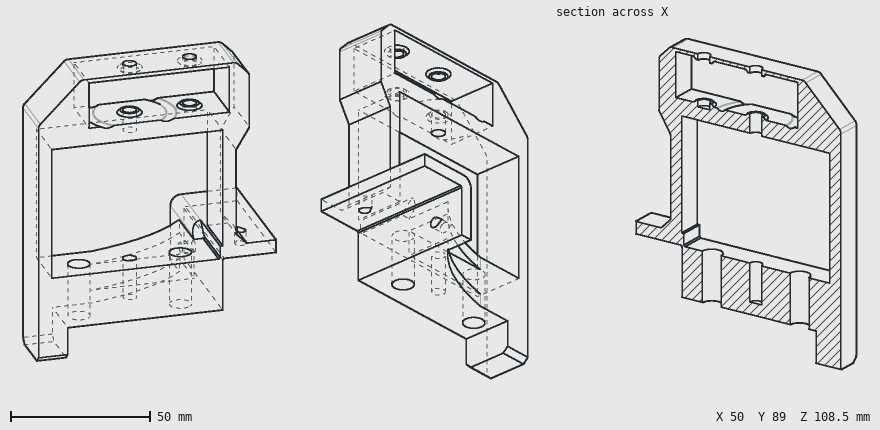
import cadquery as cq
import math

WIDTH = 50.0
DEPTH = 89.0
HEIGHT = 108.5
WALL = 5.0
MARGIN = 0.1

FRAME_WIDTH = 20.0
FRAME_X = WIDTH - FRAME_WIDTH
FRAME_MID_X = WIDTH - FRAME_WIDTH / 2
FOOT_DEPTH = 11.0
BEAM_BOTTOM = 12.5
BEAM_TOP = 32.5
POST_BACK = 74.0
POST_FRONT = POST_BACK - WALL
HEAD_BACK = POST_BACK + WALL
HEAD_BOTTOM = 82.7
HEAD_SLOPE_HEIGHT = 8.2
FRONT_BEVEL = 16.1
BACK_BEVEL = 5.0
BEVEL_ROUND = 2.3
FOOT_CHAMFER = 2.1

SLOT_FRONT = 19.0
SLOT_BACK = 71.5
SLOT_BOTTOM = 89.4
ROOF = 1.5
SLOT_TOP = HEIGHT - ROOF

SHELF_TOP = BEAM_TOP + WALL
WALL_FRONT = POST_FRONT - WALL
BRACKET_ROUND = 4.0
LIP_FRONT = WALL_FRONT + BRACKET_ROUND
GUSSET = 4.0
CORNER_FILL = 0.5

RIB_EDGE = [(11.2, WALL_FRONT), (20.7, 51.4), (26.0, 39.7), (FRAME_X, 25.6)]

SEAT_MID_Y = 37.0
SEAT_PITCH = 22.5
SEAT_HOLE = 5.0
SEAT_BASE = 9.0
SEAT_TIP = 6.8
SEAT_HEIGHT = 1.0
BACK_SEAT_HOLE_DEPTH = 2.4
GROOVE_RADIUS = 15.0
GROOVE_WIDTH = 3.5
GROOVE_DEPTH = 0.8
GROOVE_EDGE_ROUND = 0.7

BEAM_HOLE = 8.0
BEAM_HOLE_OFFSET = 19.0
BEAM_PILOT_FLOOR = BEAM_BOTTOM + WALL

TEARDROP_DIAMETER = 4.0
TEARDROP_RADIUS = TEARDROP_DIAMETER / 2
TEARDROP_TIP = 3.4
WALL_HOLE_X = 13.0
SHELF_HOLE_X = 38.0
SHELF_HOLE_Y = 79.0


def box(x, y, z):
    """Box spanning the given (low, high) pairs."""
    return cq.Workplane("XY").box(
        x[1] - x[0], y[1] - y[0], z[1] - z[0], centered=False
    ).translate((x[0], y[0], z[0]))


def extrude_x(points, x_low, x_high):
    """Extrude a (y, z) outline along X."""
    return cq.Workplane("YZ", origin=(x_low, 0, 0)).polyline(points).close().extrude(x_high - x_low)


def cylinder(diameter, x, y, z_low, z_high):
    """Upright cylinder between two heights."""
    return cq.Workplane("XY", origin=(x, y, z_low)).circle(diameter / 2).extrude(z_high - z_low)


def make_frame():
    """Frame without its windows, down to the foot at the front."""
    outline = [
        (0, 0),
        (0, HEIGHT - FRONT_BEVEL),
        (FRONT_BEVEL, HEIGHT),
        (HEAD_BACK - BACK_BEVEL, HEIGHT),
        (HEAD_BACK, HEIGHT - BACK_BEVEL),
        (HEAD_BACK, HEAD_BOTTOM),
        (POST_BACK, HEAD_BOTTOM - HEAD_SLOPE_HEIGHT),
        (POST_BACK, SHELF_TOP + GUSSET),
        (POST_BACK + GUSSET, SHELF_TOP),
        (POST_BACK + GUSSET, BEAM_TOP),
        (POST_FRONT, BEAM_TOP),
        (POST_FRONT, BEAM_BOTTOM),
        (FOOT_DEPTH, BEAM_BOTTOM),
        (FOOT_DEPTH, 0),
    ]
    frame = extrude_x(outline, FRAME_X, WIDTH)
    high_edges = cq.selectors.BoxSelector(
        (FRAME_X - MARGIN, -MARGIN, HEIGHT - FRONT_BEVEL - MARGIN),
        (WIDTH + MARGIN, HEAD_BACK + MARGIN, HEIGHT + MARGIN),
    )
    frame = frame.edges("|X").edges(high_edges).fillet(BEVEL_ROUND)
    frame = frame.faces("<Z").edges("|Y").chamfer(FOOT_CHAMFER)
    return frame


def make_bracket():
    """Shelf and hanging wall with a rounded outer bend."""
    outline = [
        (WALL_FRONT, BEAM_BOTTOM),
        (WALL_FRONT, SHELF_TOP),
        (DEPTH, SHELF_TOP),
        (DEPTH, BEAM_TOP),
        (POST_FRONT, BEAM_TOP),
        (POST_FRONT, BEAM_BOTTOM),
    ]
    bracket = extrude_x(outline, 0, WIDTH)
    return bracket.faces(">Z").edges("<Y").fillet(BRACKET_ROUND)


def make_rib(z_low):
    """Curved rib bracing the hanging wall against the lower beam."""
    return (
        cq.Workplane("XY", origin=(0, 0, z_low))
        .spline(RIB_EDGE)
        .lineTo(FRAME_X, WALL_FRONT)
        .close()
        .extrude(WALL)
    )


def make_window():
    """Main window, which ends on the shelf at the back and on the lower beam in front of it."""
    upper = box((FRAME_X, WIDTH), (WALL, POST_FRONT), (SHELF_TOP, HEAD_BOTTOM))
    lower = box((FRAME_X, WIDTH), (WALL, LIP_FRONT), (BEAM_TOP, SHELF_TOP))
    return upper.union(lower)


def make_runout():
    """Wedge that ends the window at 45 degrees in the rounded bend of the bracket."""
    return (
        cq.Workplane("XZ", origin=(0, WALL_FRONT, 0))
        .polyline([(FRAME_X, BEAM_TOP), (FRAME_X, SHELF_TOP), (FRAME_X - WALL, SHELF_TOP)])
        .close()
        .extrude(WALL_FRONT - LIP_FRONT)
    )


def make_corner_fill(corner_y, direction, x_low):
    """Bevel filling an inside corner at beam height, towards +Y and down or -Y and up."""
    leg = direction * CORNER_FILL
    outline = [(corner_y, BEAM_TOP), (corner_y + leg, BEAM_TOP), (corner_y, BEAM_TOP - leg)]
    return extrude_x(outline, x_low, WIDTH)


def make_seat(y, z, direction):
    """Tapered boss standing on a slot face, pointing up (+1) or down (-1)."""
    boss = cq.Solid.makeCone(
        SEAT_BASE / 2, SEAT_TIP / 2, SEAT_HEIGHT,
        pnt=cq.Vector(FRAME_MID_X, y, z), dir=cq.Vector(0, 0, direction),
    )
    return cq.Workplane(obj=boss)


def make_groove():
    """Shallow round-bottomed ring around the front seat, clipped to the slot floor."""
    tube = ((GROOVE_WIDTH / 2) ** 2 + GROOVE_DEPTH ** 2) / (2 * GROOVE_DEPTH)
    ring = cq.Solid.makeTorus(
        GROOVE_RADIUS, tube, cq.Vector(FRAME_MID_X, SEAT_MID_Y, SLOT_BOTTOM - GROOVE_DEPTH + tube)
    )
    return cq.Workplane(obj=ring).intersect(
        box((FRAME_X, WIDTH), (SLOT_FRONT, SLOT_BACK), (SLOT_BOTTOM - WALL, SLOT_BOTTOM))
    )


def teardrop(plane, center, length):
    """Round hole drawn out to a point on its -X side."""
    touch = math.acos(TEARDROP_RADIUS / TEARDROP_TIP)
    x = -TEARDROP_RADIUS * math.cos(touch)
    y = TEARDROP_RADIUS * math.sin(touch)
    return (
        cq.Workplane(plane, origin=center)
        .moveTo(-TEARDROP_TIP, 0)
        .lineTo(x, y)
        .threePointArc((TEARDROP_RADIUS, 0), (x, -y))
        .close()
        .extrude(length)
    )


result = make_frame().union(make_bracket())
for rib_bottom in (BEAM_BOTTOM, BEAM_TOP - WALL):
    result = result.union(make_rib(rib_bottom))

result = result.cut(make_window()).cut(make_runout())
result = result.union(make_corner_fill(POST_FRONT, 1, 0))
result = result.union(make_corner_fill(LIP_FRONT, -1, FRAME_X))

result = result.cut(box((FRAME_X, WIDTH), (SLOT_FRONT, SLOT_BACK), (SLOT_BOTTOM, SLOT_TOP)))
result = result.cut(make_groove())
groove_edges = cq.selectors.BoxSelector(
    (FRAME_X, SLOT_FRONT, SLOT_BOTTOM - MARGIN), (WIDTH, SLOT_BACK, SLOT_BOTTOM + MARGIN)
)
result = result.edges("%CIRCLE").edges(groove_edges).fillet(GROOVE_EDGE_ROUND)

back_seat_y = SEAT_MID_Y + SEAT_PITCH
for seat_y in (SEAT_MID_Y, back_seat_y):
    result = result.union(make_seat(seat_y, SLOT_BOTTOM, 1))
    result = result.union(make_seat(seat_y, SLOT_TOP, -1))

back_hole_floor = SLOT_BOTTOM + SEAT_HEIGHT - BACK_SEAT_HOLE_DEPTH
result = result.cut(cylinder(SEAT_HOLE, FRAME_MID_X, SEAT_MID_Y, HEAD_BOTTOM, HEIGHT))
result = result.cut(cylinder(SEAT_HOLE, FRAME_MID_X, back_seat_y, back_hole_floor, HEIGHT))

for offset in (-BEAM_HOLE_OFFSET, BEAM_HOLE_OFFSET):
    result = result.cut(cylinder(BEAM_HOLE, FRAME_MID_X, SEAT_MID_Y + offset, BEAM_BOTTOM, BEAM_TOP))
result = result.cut(cylinder(SEAT_HOLE, FRAME_MID_X, SEAT_MID_Y, BEAM_PILOT_FLOOR, BEAM_TOP))

wall_hole_z = (BEAM_BOTTOM + BEAM_TOP) / 2
result = result.cut(teardrop("XZ", (WALL_HOLE_X, POST_FRONT, wall_hole_z), WALL))
result = result.cut(teardrop("XY", (SHELF_HOLE_X, SHELF_HOLE_Y, BEAM_TOP), WALL + GUSSET))